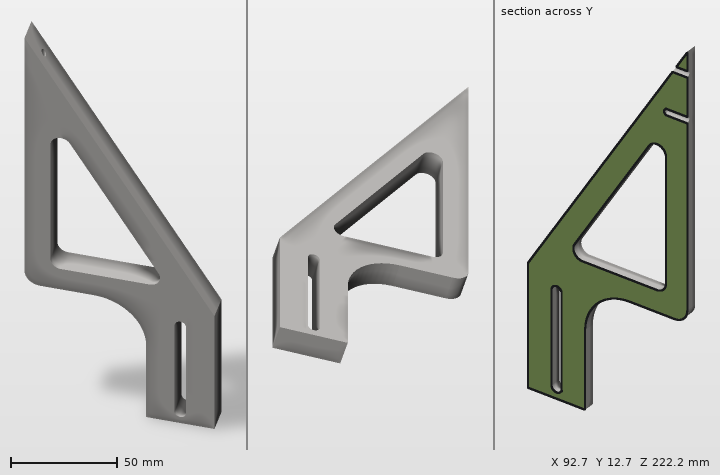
import cadquery as cq
import math

WIDTH = 92.7
HEIGHT = 222.2
THICKNESS = 12.7

ARM_BASE_Z = 70.0
LEG_WIDTH = 33.3
HEEL_RADIUS = 7.5
THROAT_RADIUS = 25.5

RIM = 12.7
WINDOW_RADIUS = 5.1

SLOT_WIDTH = 5.5
SLOT_BOTTOM_Z = 3.8
SLOT_TOP_Z = 63.0

HOLE_DIAMETER = 3.3
THROUGH_HOLE_Z = 209.5
BLIND_HOLE_Z = 184.0
BLIND_HOLE_DEPTH = 12.7
DRILL_POINT_ANGLE = 118.0

LEG_LEFT = WIDTH - LEG_WIDTH
SLOPE = (HEIGHT - ARM_BASE_Z) / WIDTH


def extrude_profile(points):
    """Extrude an XZ outline across the thickness, centred on Y = 0."""
    return cq.Workplane("XZ").polyline(points).close().extrude(THICKNESS / 2, both=True)


def round_edge(body, x, z, radius):
    """Round the Y-parallel edge at the given corner."""
    corner = cq.selectors.NearestToPointSelector((x, 0, z))
    return body.edges("|Y").edges(corner).fillet(radius)


def make_plate():
    plate = extrude_profile([
        (0, ARM_BASE_Z),
        (LEG_LEFT, ARM_BASE_Z),
        (LEG_LEFT, 0),
        (WIDTH, 0),
        (WIDTH, ARM_BASE_Z),
        (0, HEIGHT),
    ])
    plate = round_edge(plate, 0, ARM_BASE_Z, HEEL_RADIUS)
    return round_edge(plate, LEG_LEFT, ARM_BASE_Z, THROAT_RADIUS)


def make_window():
    slope_drop = RIM * math.hypot(1, SLOPE)
    bottom_z = ARM_BASE_Z + RIM
    top_z = HEIGHT - slope_drop - SLOPE * RIM
    right_x = (HEIGHT - slope_drop - bottom_z) / SLOPE
    window = extrude_profile([(RIM, bottom_z), (right_x, bottom_z), (RIM, top_z)])
    return window.edges("|Y").fillet(WINDOW_RADIUS)


def make_slot():
    return (
        cq.Workplane("XZ")
        .center(LEG_LEFT + LEG_WIDTH / 2, (SLOT_BOTTOM_Z + SLOT_TOP_Z) / 2)
        .slot2D(SLOT_TOP_Z - SLOT_BOTTOM_Z, SLOT_WIDTH, 90)
        .extrude(THICKNESS / 2, both=True)
    )


def make_through_hole():
    return cq.Workplane("YZ").center(0, THROUGH_HOLE_Z).circle(HOLE_DIAMETER / 2).extrude(WIDTH)


def make_blind_hole():
    radius = HOLE_DIAMETER / 2
    point_length = radius / math.tan(math.radians(DRILL_POINT_ANGLE / 2))
    return (
        cq.Workplane("XZ", origin=(0, 0, BLIND_HOLE_Z))
        .polyline([
            (0, 0),
            (0, radius),
            (BLIND_HOLE_DEPTH, radius),
            (BLIND_HOLE_DEPTH + point_length, 0),
        ])
        .close()
        .revolve(360, (0, 0), (1, 0))
    )


result = (
    make_plate()
    .cut(make_window())
    .cut(make_slot())
    .cut(make_through_hole())
    .cut(make_blind_hole())
)